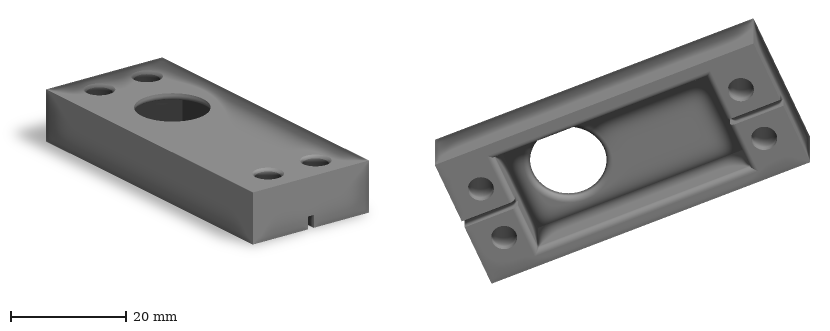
import cadquery as cq

length = 60.0
width = 25.0
height = 9.7

window_diameter = 13.25
window_x = -length / 2 + 19.8

screw_diameter = 4.5
countersink_diameter = 5.5
countersink_angle = 90.0
screw_end_distance = 5.5
screw_spacing_y = 10.25

roof_thickness = 1.5
pocket_end_wall = 10.0
pocket_side_wall = 3.0
pocket_length = length - 2 * pocket_end_wall
pocket_width = width - 2 * pocket_side_wall

rim_radius = 1.0

slot_width = 1.25
slot_height = 2.4


def make_block():
    return cq.Workplane("XY").box(length, width, height, centered=(True, True, False))


def cut_pocket(body):
    pocket = cq.Workplane("XY").box(
        pocket_length, pocket_width, height - roof_thickness, centered=(True, True, False)
    )
    pocketed = body.cut(pocket)
    inner_rim = pocketed.faces("<Z").wires(cq.selectors.AreaNthSelector(0))
    return inner_rim.fillet(rim_radius)


def cut_window(body):
    window = cq.Workplane("XY").center(window_x, 0).circle(window_diameter / 2).extrude(height)
    return body.cut(window).edges("%CIRCLE").edges("<Z").fillet(rim_radius)


def cut_cable_slot(body):
    slot = cq.Workplane("XY").box(length, slot_width, slot_height, centered=(True, True, False))
    return body.cut(slot)


def drill_screw_holes(body):
    return (
        body.faces(">Z")
        .workplane(origin=(0, 0, height))
        .rarray(length - 2 * screw_end_distance, screw_spacing_y, 2, 2)
        .cskHole(screw_diameter, countersink_diameter, countersink_angle)
    )


hollow_block = cut_window(cut_pocket(make_block()))
result = drill_screw_holes(cut_cable_slot(hollow_block))